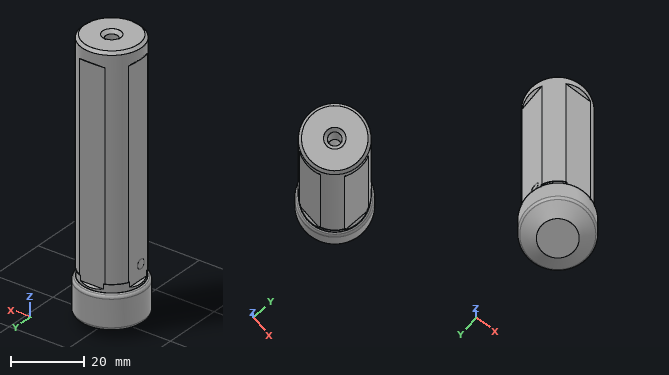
import cadquery as cq
import math

total_length = 90.0
grip_radius = 10.0
grip_chamfer = 0.9
neck_radius = 9.8
neck_top = 16.65
collar_radius = 11.0
collar_shoulder_radius = 9.9
collar_top = 13.95
tip_radius = 5.85
cone_slope = math.tan(math.radians(30))
tip_cone_height = (collar_radius - tip_radius) * cone_slope
collar_edge_height = collar_top - (collar_radius - collar_shoulder_radius) * cone_slope
collar_fillet = 1.2

flat_distance = 9.0
flat_bottom = 15.0
flat_top = 85.05
flat_count = 4

bore_radius = 2.0
bore_depth = 10.8
bore_point_height = 1.2
countersink_radius = 3.1
countersink_depth = countersink_radius - bore_radius

dome_radius = 1.5
dome_height = 0.3
dome_y = -1.3
dome_z = 20.0


def turned_body():
    """Solid of revolution: conical tip, collar, relieved neck and grip."""
    body = (
        cq.Workplane("XZ")
        .lineTo(tip_radius, 0)
        .lineTo(collar_radius, tip_cone_height)
        .lineTo(collar_radius, collar_edge_height)
        .lineTo(collar_shoulder_radius, collar_top)
        .lineTo(neck_radius, collar_top)
        .lineTo(neck_radius, neck_top)
        .lineTo(grip_radius, neck_top)
        .lineTo(grip_radius, total_length - grip_chamfer)
        .lineTo(grip_radius - grip_chamfer, total_length)
        .lineTo(0, total_length)
        .close()
        .revolve(360, (0, 0, 0), (0, 1, 0))
    )
    for height in (tip_cone_height, collar_edge_height):
        corner = cq.NearestToPointSelector((0, 0, height))
        body = body.edges(corner).fillet(collar_fillet)
    return body


def flat_cutter():
    """Bar on the +X side whose ends slope outward at 30 degrees."""
    depth = collar_radius - flat_distance
    end_rise = depth * cone_slope
    return (
        cq.Workplane("XZ")
        .moveTo(flat_distance, flat_bottom)
        .lineTo(flat_distance + depth, flat_bottom - end_rise)
        .lineTo(flat_distance + depth, flat_top + end_rise)
        .lineTo(flat_distance, flat_top)
        .close()
        .extrude(collar_radius, both=True)
    )


def axial_hole():
    """Blind hole from the top face, revolved about the axis."""
    bore_bottom = total_length - bore_depth
    return (
        cq.Workplane("XZ")
        .moveTo(0, bore_bottom - bore_point_height)
        .lineTo(bore_radius, bore_bottom)
        .lineTo(bore_radius, total_length - countersink_depth)
        .lineTo(countersink_radius, total_length)
        .lineTo(0, total_length)
        .close()
        .revolve(360, (0, 0, 0), (0, 1, 0))
    )


def detent_dome():
    """Ball sunk in the flat so that only a shallow cap stands out."""
    ball_radius = (dome_radius**2 + dome_height**2) / (2 * dome_height)
    ball_x = -flat_distance - dome_height + ball_radius
    return cq.Workplane("XY").sphere(ball_radius).translate((ball_x, dome_y, dome_z))


def dome_seat():
    """Short cylinder that bounds the dome to the area around the flat."""
    return (
        cq.Workplane("YZ", origin=(-flat_distance - dome_height, dome_y, dome_z))
        .circle(dome_radius)
        .extrude(2 * dome_height)
    )


result = turned_body()
for index in range(flat_count):
    angle = index * 360 / flat_count
    result = result.cut(flat_cutter().rotate((0, 0, 0), (0, 0, 1), angle))
result = result.cut(axial_hole())
result = result.union(detent_dome().intersect(dome_seat()))